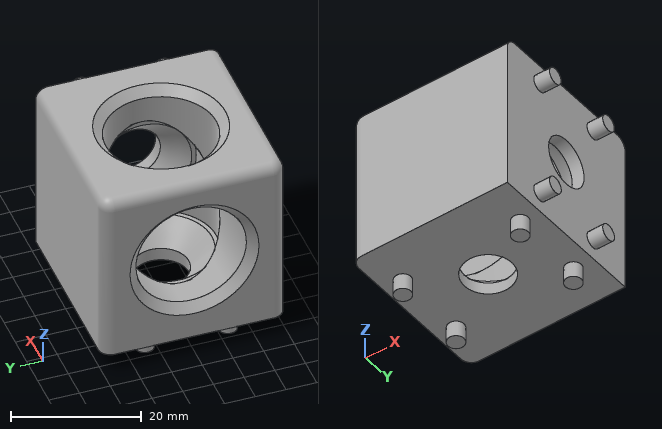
import cadquery as cq

overall = 33.0
pin_length = 3.0
pin_diameter = 3.0
edge_radius = 2.0
pin_offset_long = 11.25
pin_offset_y = 6.75

mouth_diameter = 21.0
bore_diameter = 18.0
countersink_diameter = 16.5
screw_diameter = 9.0
floor_thickness = 6.0

block_size = overall - pin_length
half = block_size / 2
mouth_depth = (mouth_diameter - bore_diameter) / 2
countersink_depth = (countersink_diameter - screw_diameter) / 2
floor_level = -half + floor_thickness


def make_block():
    """Cube centred on the origin, rounded on every edge of the -X and +Z side."""
    block = cq.Workplane("XY").box(block_size, block_size, block_size)
    rounded = block.edges("(<X and |Z) or (<X and >Z) or (>Z and |X)")
    return rounded.fillet(edge_radius)


def make_bore():
    """Stepped bore along Z, opening upwards with its screw hole at the bottom."""
    profile = [
        (0, -half),
        (screw_diameter / 2, -half),
        (screw_diameter / 2, floor_level - countersink_depth),
        (countersink_diameter / 2, floor_level),
        (bore_diameter / 2, floor_level),
        (bore_diameter / 2, half - mouth_depth),
        (mouth_diameter / 2, half),
        (0, half),
    ]
    return cq.Workplane("XZ").polyline(profile).close().revolve(360, (0, 0), (0, 1))


def make_pins():
    """Four locating pins standing down from the bottom face."""
    return (
        cq.Workplane("XY", origin=(0, 0, -half))
        .rect(2 * pin_offset_long, 2 * pin_offset_y, forConstruction=True)
        .vertices()
        .circle(pin_diameter / 2)
        .extrude(-pin_length)
    )


def turn_to_x(shape):
    """Turn a feature about Y so that its top end faces -X and its bottom end +X."""
    return shape.rotate((0, 0, 0), (0, 1, 0), -90)


bore = make_bore()
pins = make_pins()

result = make_block().cut(bore).cut(turn_to_x(bore)).union(pins).union(turn_to_x(pins))